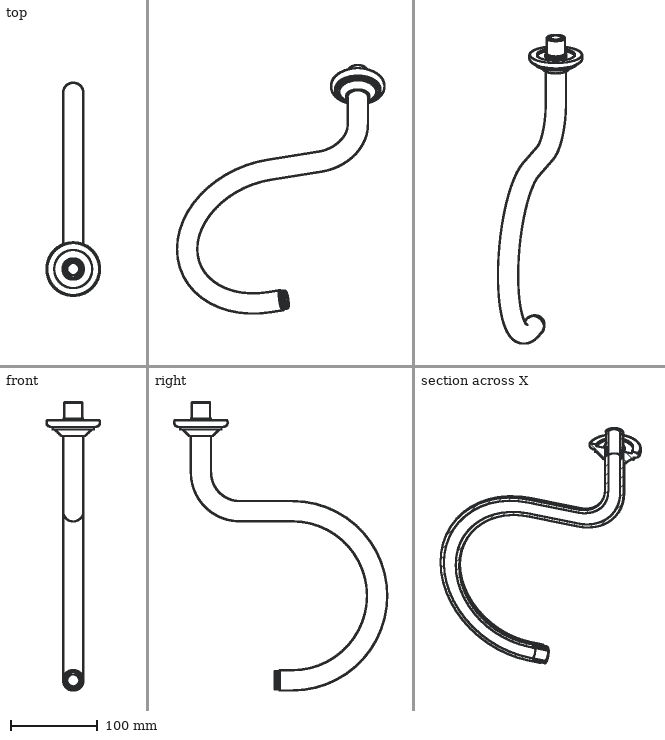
import cadquery as cq
import math

TOTAL_HEIGHT = 332.5
TOTAL_DEPTH = 245.8
FLANGE_RADIUS = 31.0

TUBE_DIAMETER = 23.5
TUBE_RADIUS = TUBE_DIAMETER / 2
TUBE_END_CHAMFER = 1.0
BORE_RADIUS = 7.0
TUBE_TOP = 310.0
SMALL_BEND_RADIUS = 44.5
LARGE_BEND_RADIUS = 97.5
LOWER_AXIS_Z = TUBE_RADIUS
ARM_AXIS_Z = LOWER_AXIS_Z + 2 * LARGE_BEND_RADIUS
TUBE_END_Y = 90.0
ARM_END_Y = TOTAL_DEPTH - FLANGE_RADIUS - TUBE_RADIUS - LARGE_BEND_RADIUS

OUTLET_END_Y = 84.5
OUTLET_RADIUS = 10.5
PLUG_RADIUS = 9.0
PLUG_LENGTH = 10.0
OUTLET_CHAMFER = 1.0
GROOVE_RADIUS = 9.3
GROOVE_START = 0.5
GROOVE_WIDTH = 2.3

FLANGE_TOP = 311.7
RIM_TOP_RADIUS = 30.0
RIM_WIDEST_Z = 308.7
RIM_LOWER_SLOPE = 0.3
SHOULDER_RADIUS = 26.3
SHOULDER_Z = 303.7
STEP_RADIUS = 24.0
STEP_BOTTOM = 300.7
CONE_TOP_RADIUS = 21.3
CONE_BOTTOM_RADIUS = 13.5
CONE_BOTTOM = 293.5
RECESS_RADIUS = 22.0
RECESS_DEPTH = 2.3

COLLAR_RADIUS = 12.3
COLLAR_THICKNESS = 1.0
NIPPLE_RADIUS = 10.5
NIPPLE_SHOULDER_RADIUS = 11.3
NIPPLE_SHOULDER_HEIGHT = 2.3
NIPPLE_CHAMFER = 1.0
NIPPLE_PLUG_LENGTH = 10.0

COLLAR_TOP = TUBE_TOP + COLLAR_THICKNESS


def cylinder_along_z(radius, bottom, top):
    return cq.Workplane("XY").workplane(offset=bottom).circle(radius).extrude(top - bottom)


def cylinder_along_y(radius, start, end):
    """Cylinder on the outlet axis, between two Y positions."""
    plane = cq.Plane(origin=(0, start, LOWER_AXIS_Z), xDir=(1, 0, 0), normal=(0, 1, 0))
    return cq.Workplane(plane).circle(radius).extrude(end - start)


def sweep_along_tube(radius):
    """Round bar following the tube axis: drop, small bend, arm, then half-circle hook."""
    diagonal = SMALL_BEND_RADIUS * math.sqrt(0.5)
    bend_center_z = ARM_AXIS_Z + SMALL_BEND_RADIUS
    axis = (
        cq.Workplane("YZ")
        .moveTo(0, TUBE_TOP)
        .lineTo(0, bend_center_z)
        .threePointArc(
            (SMALL_BEND_RADIUS - diagonal, bend_center_z - diagonal),
            (SMALL_BEND_RADIUS, ARM_AXIS_Z),
        )
        .lineTo(ARM_END_Y, ARM_AXIS_Z)
        .threePointArc(
            (ARM_END_Y + LARGE_BEND_RADIUS, ARM_AXIS_Z - LARGE_BEND_RADIUS),
            (ARM_END_Y, LOWER_AXIS_Z),
        )
        .lineTo(TUBE_END_Y, LOWER_AXIS_Z)
    )
    return cq.Workplane("XY").workplane(offset=TUBE_TOP).circle(radius).sweep(axis)


def make_tube():
    bar = sweep_along_tube(TUBE_RADIUS)
    outlet_end = cq.selectors.NearestToPointSelector((0, TUBE_END_Y, LOWER_AXIS_Z))
    bar = bar.faces(outlet_end).edges().chamfer(TUBE_END_CHAMFER)
    tube = bar.cut(sweep_along_tube(BORE_RADIUS))
    nipple_socket = cylinder_along_z(PLUG_RADIUS, TUBE_TOP - NIPPLE_PLUG_LENGTH, TUBE_TOP)
    outlet_socket = cylinder_along_y(PLUG_RADIUS, TUBE_END_Y, TUBE_END_Y + PLUG_LENGTH)
    return tube.cut(nipple_socket).cut(outlet_socket)


def make_flange():
    profile = (
        cq.Workplane("XZ")
        .moveTo(TUBE_RADIUS, CONE_BOTTOM)
        .lineTo(CONE_BOTTOM_RADIUS, CONE_BOTTOM)
        .lineTo(CONE_TOP_RADIUS, STEP_BOTTOM)
        .lineTo(STEP_RADIUS, STEP_BOTTOM)
        .lineTo(STEP_RADIUS, SHOULDER_Z)
        .lineTo(SHOULDER_RADIUS, SHOULDER_Z)
        .spline(
            [(FLANGE_RADIUS, RIM_WIDEST_Z), (RIM_TOP_RADIUS, FLANGE_TOP)],
            tangents=[(1, RIM_LOWER_SLOPE), (0, 1), (-1, 1)],
            includeCurrent=True,
        )
        .lineTo(RECESS_RADIUS, FLANGE_TOP)
        .lineTo(RECESS_RADIUS, FLANGE_TOP - RECESS_DEPTH)
        .lineTo(TUBE_RADIUS, FLANGE_TOP - RECESS_DEPTH)
        .close()
    )
    return profile.revolve(360, (0, 0, 0), (0, 1, 0))


def make_collar():
    ring = cylinder_along_z(COLLAR_RADIUS, TUBE_TOP, COLLAR_TOP)
    return ring.cut(cylinder_along_z(PLUG_RADIUS, TUBE_TOP, COLLAR_TOP))


def make_nipple():
    plug_bottom = TUBE_TOP - NIPPLE_PLUG_LENGTH
    barrel = cylinder_along_z(NIPPLE_RADIUS, COLLAR_TOP, TOTAL_HEIGHT)
    barrel = barrel.faces(">Z").edges().chamfer(NIPPLE_CHAMFER)
    shoulder = cylinder_along_z(
        NIPPLE_SHOULDER_RADIUS, COLLAR_TOP, COLLAR_TOP + NIPPLE_SHOULDER_HEIGHT
    )
    plug = cylinder_along_z(PLUG_RADIUS, plug_bottom, COLLAR_TOP)
    bore = cylinder_along_z(BORE_RADIUS, plug_bottom, TOTAL_HEIGHT)
    return barrel.union(shoulder).union(plug).cut(bore)


def ring_groove_space():
    """Annular space that the outlet ring fills."""
    start = TUBE_END_Y - GROOVE_START - GROOVE_WIDTH
    end = TUBE_END_Y - GROOVE_START
    return cylinder_along_y(OUTLET_RADIUS, start, end).cut(cylinder_along_y(GROOVE_RADIUS, start, end))


def make_outlet():
    nose = cylinder_along_y(OUTLET_RADIUS, OUTLET_END_Y, TUBE_END_Y)
    nose = nose.faces("<Y").edges().chamfer(OUTLET_CHAMFER)
    plug = cylinder_along_y(PLUG_RADIUS, TUBE_END_Y, TUBE_END_Y + PLUG_LENGTH)
    bore = cylinder_along_y(BORE_RADIUS, OUTLET_END_Y, TUBE_END_Y + PLUG_LENGTH)
    return nose.union(plug).cut(bore).cut(ring_groove_space())


def make_outlet_ring():
    return ring_groove_space()


tube = make_tube()
flange = make_flange()
collar = make_collar()
nipple = make_nipple()
outlet = make_outlet()
outlet_ring = make_outlet_ring()

result = cq.Compound.makeCompound(
    [tube.val(), flange.val(), collar.val(), nipple.val(), outlet.val(), outlet_ring.val()]
)